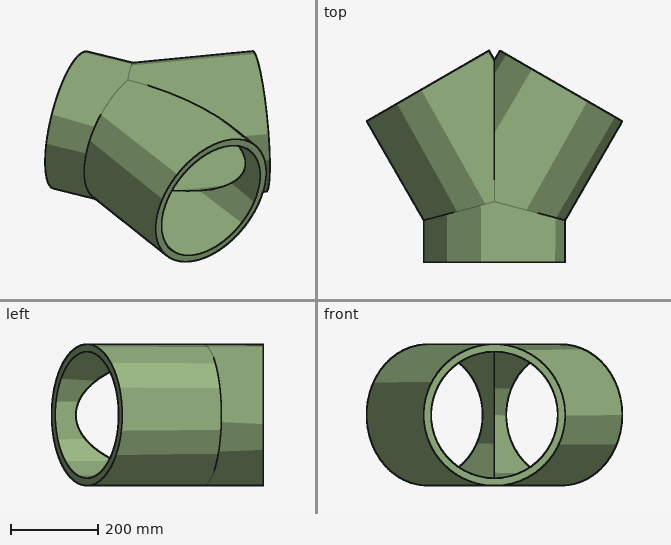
import cadquery as cq
import math

outer_diameter = 323.5
bore_diameter = 289.0
overall_width = 585.0
overall_depth = 484.5
branch_angle = 30.0

outer_radius = outer_diameter / 2
branch_sin = math.sin(math.radians(branch_angle))
branch_cos = math.cos(math.radians(branch_angle))
branch_length = (overall_width / 2 - outer_radius * branch_cos) / branch_sin
branch_reach = branch_length * branch_cos + outer_radius * branch_sin
inlet_length = overall_depth - branch_reach

pipes = [
    (cq.Vector(0, -1, 0), inlet_length),
    (cq.Vector(-branch_sin, branch_cos, 0), branch_length),
    (cq.Vector(branch_sin, branch_cos, 0), branch_length),
]


def joined_cylinders(diameter):
    """Join one solid cylinder per pipe; equal diameters meet in mitred seams."""
    body = cq.Workplane("XY")
    for direction, length in pipes:
        cylinder = cq.Solid.makeCylinder(diameter / 2, length, cq.Vector(0, 0, 0), direction)
        body = body.union(cylinder)
    return body


result = joined_cylinders(outer_diameter).cut(joined_cylinders(bore_diameter))